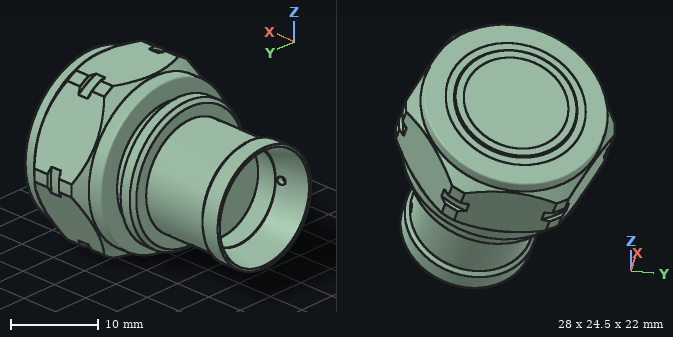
import cadquery as cq
import math

TOTAL_LENGTH = 28.03

MOUTH_RADIUS = 7.75
MOUTH_LENGTH = 2.4
BARREL_RADIUS = 7.23
MOUTH_TAPER = MOUTH_RADIUS - BARREL_RADIUS
FLANGE_RADIUS = 9.4
FLANGE_START = 11.88
FLANGE_LENGTH = 2.0
FLANGE_CHAMFER = 0.53
NECK_RADIUS = 8.2
NOSE_LENGTH = 0.2
NOSE_CHAMFER = 0.15

FUNNEL_MOUTH_RADIUS = 7.37
FUNNEL_END_RADIUS = 6.22
FUNNEL_DEPTH = 4.2
BORE_RADIUS = 6.15
PLUG_START = 6.92

PIN_HOLE_DIAMETER = 1.0
PIN_HOLE_X = 3.5

NUT_START = 15.58
NUT_END = TOTAL_LENGTH - NOSE_LENGTH
NUT_RIM_RADIUS = 10.85
NUT_RIM_FILLET = 0.28
HEX_START = 17.55
HEX_END = 26.3
HEX_ACROSS_FLATS = 22.0
HEX_CORNER_RADIUS = 12.25
HEX_CHAMFER = HEX_CORNER_RADIUS - NUT_RIM_RADIUS

GROOVE_CENTER_X = 21.9
GROOVE_OUTER_WIDTH = 1.85
GROOVE_FLOOR_WIDTH = 1.45
GROOVE_DEPTH = 0.4


def revolve_about_x(profile):
    """Turn a closed (x, radius) profile around the X axis."""
    return profile.close().revolve(360, (0, 0, 0), (1, 0, 0))


def make_body():
    flange_end = FLANGE_START + FLANGE_LENGTH
    body = revolve_about_x(
        cq.Workplane("XY")
        .moveTo(0, FUNNEL_MOUTH_RADIUS)
        .lineTo(0, MOUTH_RADIUS)
        .lineTo(MOUTH_LENGTH, MOUTH_RADIUS)
        .lineTo(MOUTH_LENGTH + MOUTH_TAPER, BARREL_RADIUS)
        .lineTo(FLANGE_START, BARREL_RADIUS)
        .lineTo(FLANGE_START, FLANGE_RADIUS - FLANGE_CHAMFER)
        .lineTo(FLANGE_START + FLANGE_CHAMFER, FLANGE_RADIUS)
        .lineTo(flange_end, FLANGE_RADIUS)
        .lineTo(flange_end, NECK_RADIUS)
        .lineTo(NUT_END, NECK_RADIUS)
        .lineTo(NUT_END, BARREL_RADIUS)
        .lineTo(TOTAL_LENGTH - NOSE_CHAMFER, BARREL_RADIUS)
        .lineTo(TOTAL_LENGTH, BARREL_RADIUS - NOSE_CHAMFER)
        .lineTo(TOTAL_LENGTH, BORE_RADIUS)
        .lineTo(FUNNEL_DEPTH, BORE_RADIUS)
        .lineTo(FUNNEL_DEPTH, FUNNEL_END_RADIUS)
    )
    pin_hole = (
        cq.Workplane("XZ")
        .center(PIN_HOLE_X, 0)
        .circle(PIN_HOLE_DIAMETER / 2)
        .extrude(MOUTH_RADIUS)
    )
    return body.cut(pin_hole)


def make_plug():
    return (
        cq.Workplane("YZ", origin=(PLUG_START, 0, 0))
        .circle(BORE_RADIUS)
        .extrude(TOTAL_LENGTH - PLUG_START)
    )


def make_hexagon():
    """Hexagon with two flats facing up and down and its corners turned down."""
    across_corners = HEX_ACROSS_FLATS / math.cos(math.radians(30))
    prism = (
        cq.Workplane("YZ", origin=(HEX_START, 0, 0))
        .polygon(6, across_corners)
        .extrude(HEX_END - HEX_START)
    )
    groove_floor_radius = HEX_CORNER_RADIUS - GROOVE_DEPTH
    turned_envelope = revolve_about_x(
        cq.Workplane("XY")
        .moveTo(HEX_START, 0)
        .lineTo(HEX_START, NUT_RIM_RADIUS)
        .lineTo(HEX_START + HEX_CHAMFER, HEX_CORNER_RADIUS)
        .lineTo(GROOVE_CENTER_X - GROOVE_OUTER_WIDTH / 2, HEX_CORNER_RADIUS)
        .lineTo(GROOVE_CENTER_X - GROOVE_FLOOR_WIDTH / 2, groove_floor_radius)
        .lineTo(GROOVE_CENTER_X + GROOVE_FLOOR_WIDTH / 2, groove_floor_radius)
        .lineTo(GROOVE_CENTER_X + GROOVE_OUTER_WIDTH / 2, HEX_CORNER_RADIUS)
        .lineTo(HEX_END - HEX_CHAMFER, HEX_CORNER_RADIUS)
        .lineTo(HEX_END, NUT_RIM_RADIUS)
        .lineTo(HEX_END, 0)
    )
    return prism.intersect(turned_envelope)


def make_nut():
    nut_length = NUT_END - NUT_START
    start_plane = cq.Workplane("YZ", origin=(NUT_START, 0, 0))
    rim = start_plane.circle(NUT_RIM_RADIUS).extrude(nut_length).edges("%CIRCLE").fillet(NUT_RIM_FILLET)
    bore = start_plane.circle(NECK_RADIUS).extrude(nut_length)
    return rim.union(make_hexagon()).cut(bore)


body = make_body()
nut = make_nut()
plug = make_plug()

result = cq.Compound.makeCompound([body.val(), nut.val(), plug.val()])